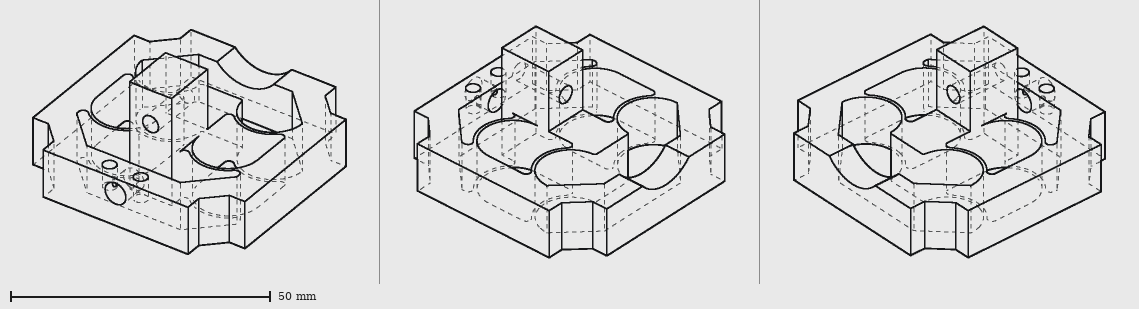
import cadquery as cq
import math

frame_size = 49.8
frame_height = 11.0
side_flat = 34.05
notch_step = 3.65
wall = 6.1
window_chamfer = 7.8

block_width = 9.85
block_front = -13.1
block_step = -1.0
total_height = 25.0
block_corner_radius = 0.55
post_hole_diameter = 3.75
post_hole_height = 17.1

web_thickness = 0.7
root_radius = 1.0
web_pitch = 15.0

front_hole_diameter = 4.9
front_hole_height = 7.5
pin_hole_diameter = 2.9
pin_hole_spacing = 7.3
pin_hole_y = -21.65
pin_hole_depth = 5.0
saddle_width = 13.35
saddle_radius = 8.7

half_frame = frame_size / 2
half_flat = side_flat / 2
half_window = half_frame - wall
half_block = block_width / 2
web_inner_radius = (half_window - half_block) / 2
web_outer_radius = web_inner_radius + web_thickness
web_center_x = (half_window + half_block) / 2
block_back = half_window - window_chamfer
web_center_rows = (block_back, block_back - web_pitch)


def make_frame():
    """Square ring with stepped, chamfered corners and an octagonal window."""
    shoulder = half_frame - notch_step
    quarter = [
        (half_frame, half_flat),
        (shoulder, half_flat),
        (half_flat, shoulder),
        (half_flat, half_frame),
    ]
    outline = []
    for _ in range(4):
        for x, y in quarter:
            outline.append((x, y))
        quarter = [(-y, x) for x, y in quarter]
    body = cq.Workplane("XY").polyline(outline).close().extrude(frame_height)
    window = (
        cq.Workplane("XY")
        .rect(2 * half_window, 2 * half_window)
        .extrude(frame_height)
        .edges("|Z")
        .chamfer(window_chamfer)
    )
    return body.cut(window)


def box_between(y_start, y_end, height):
    """Central box of the block width, standing on the base plane."""
    return (
        cq.Workplane("XY")
        .center(0, (y_start + y_end) / 2)
        .rect(block_width, y_end - y_start)
        .extrude(height)
    )


def make_web(center_x, center_y):
    """Sagging arc web between wall and block, with rounded roots below."""
    root_x = web_inner_radius - root_radius
    root_reach = web_outer_radius + root_radius
    root_y = -math.sqrt(root_reach**2 - root_x**2)
    tangent_x = root_x * web_outer_radius / root_reach
    tangent_y = root_y * web_outer_radius / root_reach
    root_top = root_y + root_radius
    return (
        cq.Workplane("XY", origin=(center_x, center_y, 0))
        .moveTo(-web_inner_radius, 0)
        .threePointArc((0, -web_inner_radius), (web_inner_radius, 0))
        .lineTo(web_inner_radius, root_y)
        .threePointArc((root_x, root_top), (tangent_x, tangent_y))
        .threePointArc((0, -web_outer_radius), (-tangent_x, tangent_y))
        .threePointArc((-root_x, root_top), (-web_inner_radius, root_y))
        .close()
        .extrude(frame_height)
    )


def hole_along_y(diameter, height, y_start, length):
    """Round cutter on the X = 0 plane, running toward +Y."""
    plane = cq.Plane(origin=(0, y_start, height), xDir=(1, 0, 0), normal=(0, 1, 0))
    return cq.Workplane(plane).circle(diameter / 2).extrude(length)


result = make_frame()
result = result.union(box_between(block_front, block_back, frame_height))
result = result.union(box_between(block_front, block_step, total_height))
for row_y in web_center_rows:
    for side in (-1, 1):
        result = result.union(make_web(side * web_center_x, row_y))

for side in (-1, 1):
    corner = cq.selectors.NearestToPointSelector((side * half_block, block_back, frame_height / 2))
    result = result.edges("|Z").edges(corner).fillet(block_corner_radius)

post_depth = block_step - block_front
result = result.cut(hole_along_y(post_hole_diameter, post_hole_height, block_front, post_depth))

result = result.cut(hole_along_y(front_hole_diameter, front_hole_height, -half_frame, wall))

saddle_rise = math.sqrt(saddle_radius**2 - (saddle_width / 2) ** 2)
saddle_height = frame_height + saddle_rise
result = result.cut(hole_along_y(2 * saddle_radius, saddle_height, half_window, wall))

pin_holes = (
    cq.Workplane("XY", origin=(0, pin_hole_y, frame_height))
    .pushPoints([(-pin_hole_spacing / 2, 0), (pin_hole_spacing / 2, 0)])
    .circle(pin_hole_diameter / 2)
    .extrude(-pin_hole_depth)
)
result = result.cut(pin_holes)